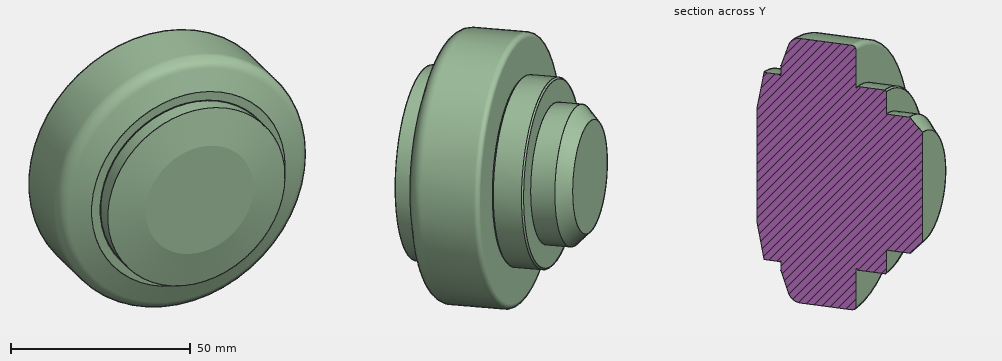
import cadquery as cq
import math

total_length = 50.5

stub_diameter = 40.0
stub_length = 11.0
stub_chamfer = 4.0

collar_diameter = 54.0
collar_chamfer = 0.5

roller_diameter = 77.7
roller_start = 20.2
roller_end = 43.2
roller_rim_radius = 1.5
shoulder_start = 37.2
shoulder_radius = 4.0
shoulder_angle = math.radians(20)

neck_length = 0.2
neck_depth = 0.2

cap_diameter = 55.0
cap_cone_length = 2.2
cap_end_diameter = 33.4


def disc(diameter, start, end):
    """Solid cylinder on the X axis between two X positions."""
    return cq.Workplane("YZ").workplane(offset=start).circle(diameter / 2).extrude(end - start)


def make_stub():
    stub = disc(stub_diameter, 0, roller_start)
    return stub.faces("<X").chamfer(stub_chamfer)


def make_collar():
    collar = disc(collar_diameter, stub_length, roller_start)
    return collar.faces("<X or >X").chamfer(collar_chamfer)


def make_roller():
    rim = roller_diameter / 2
    center_x = shoulder_start
    center_r = rim - shoulder_radius

    def shoulder_point(angle):
        """Point on the shoulder arc, with the angle measured from the X axis."""
        return (
            center_x + shoulder_radius * math.cos(angle),
            center_r + shoulder_radius * math.sin(angle),
        )

    arc_middle = shoulder_point((math.pi / 2 + shoulder_angle) / 2)
    arc_end = shoulder_point(shoulder_angle)
    cone_end_r = arc_end[1] - (roller_end - arc_end[0]) / math.tan(shoulder_angle)

    profile = (
        cq.Workplane("XY")
        .moveTo(roller_start, 0)
        .lineTo(roller_start, rim - roller_rim_radius)
        .radiusArc((roller_start + roller_rim_radius, rim), roller_rim_radius)
        .lineTo(shoulder_start, rim)
        .threePointArc(arc_middle, arc_end)
        .lineTo(roller_end, cone_end_r)
        .lineTo(roller_end, 0)
        .close()
    )
    return profile.revolve(360, (0, 0, 0), (1, 0, 0))


def make_neck():
    return disc(cap_diameter - 2 * neck_depth, roller_end, roller_end + neck_length)


def make_cap():
    cap_start = roller_end + neck_length
    cone_start = total_length - cap_cone_length
    profile = (
        cq.Workplane("XY")
        .moveTo(cap_start, 0)
        .lineTo(cap_start, cap_diameter / 2)
        .lineTo(cone_start, cap_diameter / 2)
        .lineTo(total_length, cap_end_diameter / 2)
        .lineTo(total_length, 0)
        .close()
    )
    return profile.revolve(360, (0, 0, 0), (1, 0, 0))


body = make_stub().union(make_collar())
body = body.union(make_roller())
body = body.union(make_neck()).union(make_cap())

result = body.translate((-total_length / 2, 0, 0))